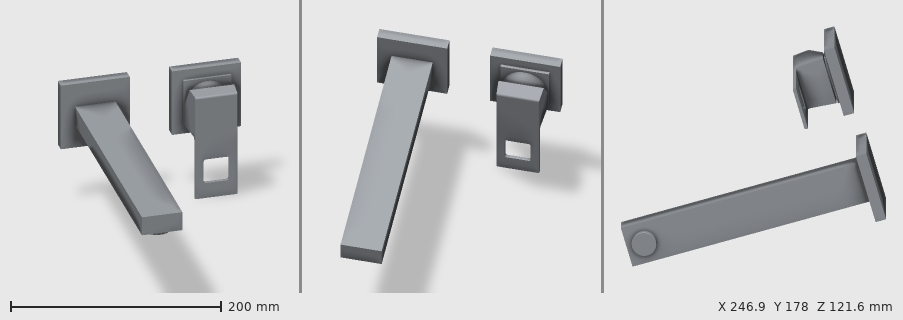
import cadquery as cq
import math

PLATE_SIDE = 68.1
PLATE_THICKNESS = 10.4
MIXER_Y = 109.9

SPOUT_END_X = 246.9
SPOUT_WIDTH = 40.0
SPOUT_HEIGHT = 19.3

NOZZLE_DIAMETER = 23.7
NOZZLE_TILT = 4.8
NOZZLE_X = 229.8
NOZZLE_DROP = 6.0
NOZZLE_EDGE_RADIUS = 0.5

COLLAR_SIDE = 47.2
COLLAR_THICKNESS = 2.7
BALL_RADIUS = 21.0
BALL_X = 8.6

HANDLE_BACK_X = 14.5
HANDLE_FRONT_X = 45.2
HANDLE_BACK_WIDTH = 46.5
HANDLE_FRONT_WIDTH = 41.5
HANDLE_TOP_BACK_X = 29.1
HANDLE_TOP_BACK_Z = 21.7
HANDLE_TOP_FRONT_Z = 20.7
BACK_SLOPE_START_Z = -3.2
HANDLE_BOTTOM_Z = -22.7
LEVER_THICKNESS = 3.2
LEVER_BOTTOM_Z = -87.5
LEVER_INNER_RADIUS = 3.0
HANDLE_TOP_RADIUS = 2.0
HANDLE_SIDE_RADIUS = 0.7

WINDOW_SIDE = 25.2
WINDOW_Z = -58.8
WINDOW_CORNER_RADIUS = 2.2


def block_along_x(start_x, length, width, height):
    """Box centred on the X axis, growing in +X from start_x."""
    return cq.Workplane("YZ").workplane(offset=start_x).rect(width, height).extrude(length)


def wall_plate():
    return block_along_x(0, PLATE_THICKNESS, PLATE_SIDE, PLATE_SIDE)


def make_nozzle():
    tilt = math.radians(NOZZLE_TILT)
    axis_up = cq.Vector(-math.sin(tilt), 0, math.cos(tilt))
    outlet_centre = cq.Vector(NOZZLE_X, 0, -SPOUT_HEIGHT / 2 - NOZZLE_DROP)
    nozzle = cq.Solid.makeCylinder(NOZZLE_DIAMETER / 2, 2 * NOZZLE_DROP, outlet_centre, axis_up)
    return cq.Workplane(nozzle).faces("<Z").edges().fillet(NOZZLE_EDGE_RADIUS)


def make_spout():
    bar = block_along_x(PLATE_THICKNESS, SPOUT_END_X - PLATE_THICKNESS, SPOUT_WIDTH, SPOUT_HEIGHT)
    return wall_plate().union(bar).union(make_nozzle())


def make_handle():
    lever_back_x = HANDLE_FRONT_X - LEVER_THICKNESS
    side_profile = (
        cq.Workplane("XZ")
        .moveTo(HANDLE_BACK_X, HANDLE_BOTTOM_Z)
        .lineTo(HANDLE_BACK_X, BACK_SLOPE_START_Z)
        .lineTo(HANDLE_TOP_BACK_X, HANDLE_TOP_BACK_Z)
        .lineTo(HANDLE_FRONT_X, HANDLE_TOP_FRONT_Z)
        .lineTo(HANDLE_FRONT_X, LEVER_BOTTOM_Z)
        .lineTo(lever_back_x, LEVER_BOTTOM_Z)
        .lineTo(lever_back_x, HANDLE_BOTTOM_Z - LEVER_INNER_RADIUS)
        .radiusArc((lever_back_x - LEVER_INNER_RADIUS, HANDLE_BOTTOM_Z), -LEVER_INNER_RADIUS)
        .close()
        .extrude(HANDLE_BACK_WIDTH / 2, both=True)
        .faces(">X")
        .edges(">Z")
        .fillet(HANDLE_TOP_RADIUS)
    )
    plan_taper = (
        cq.Workplane("XY")
        .workplane(offset=LEVER_BOTTOM_Z)
        .moveTo(HANDLE_BACK_X, -HANDLE_BACK_WIDTH / 2)
        .lineTo(HANDLE_FRONT_X, -HANDLE_FRONT_WIDTH / 2)
        .lineTo(HANDLE_FRONT_X, HANDLE_FRONT_WIDTH / 2)
        .lineTo(HANDLE_BACK_X, HANDLE_BACK_WIDTH / 2)
        .close()
        .extrude(HANDLE_TOP_BACK_Z - LEVER_BOTTOM_Z)
        .faces(">X")
        .edges("|Z")
        .fillet(HANDLE_SIDE_RADIUS)
    )
    handle = side_profile.intersect(plan_taper)
    window = (
        block_along_x(lever_back_x, LEVER_THICKNESS, WINDOW_SIDE, WINDOW_SIDE)
        .edges("|X")
        .fillet(WINDOW_CORNER_RADIUS)
        .translate((0, 0, WINDOW_Z))
    )
    return handle.cut(window)


def make_ball():
    """Part of the ball in front of the wall plate, revolved about the X axis."""
    base_radius = math.sqrt(BALL_RADIUS**2 - (PLATE_THICKNESS - BALL_X) ** 2)
    mid_angle = math.radians(45)
    arc_middle = (BALL_X + BALL_RADIUS * math.cos(mid_angle), BALL_RADIUS * math.sin(mid_angle))
    return (
        cq.Workplane("XY")
        .moveTo(PLATE_THICKNESS, 0)
        .lineTo(PLATE_THICKNESS, base_radius)
        .threePointArc(arc_middle, (BALL_X + BALL_RADIUS, 0))
        .close()
        .revolve(360, (0, 0, 0), (1, 0, 0))
    )


def make_mixer():
    collar = block_along_x(PLATE_THICKNESS, COLLAR_THICKNESS, COLLAR_SIDE, COLLAR_SIDE)
    mixer = wall_plate().union(collar).union(make_ball()).union(make_handle())
    return mixer.translate((0, MIXER_Y, 0))


spout = make_spout()
mixer = make_mixer()
result = cq.Compound.makeCompound([spout.val(), mixer.val()])